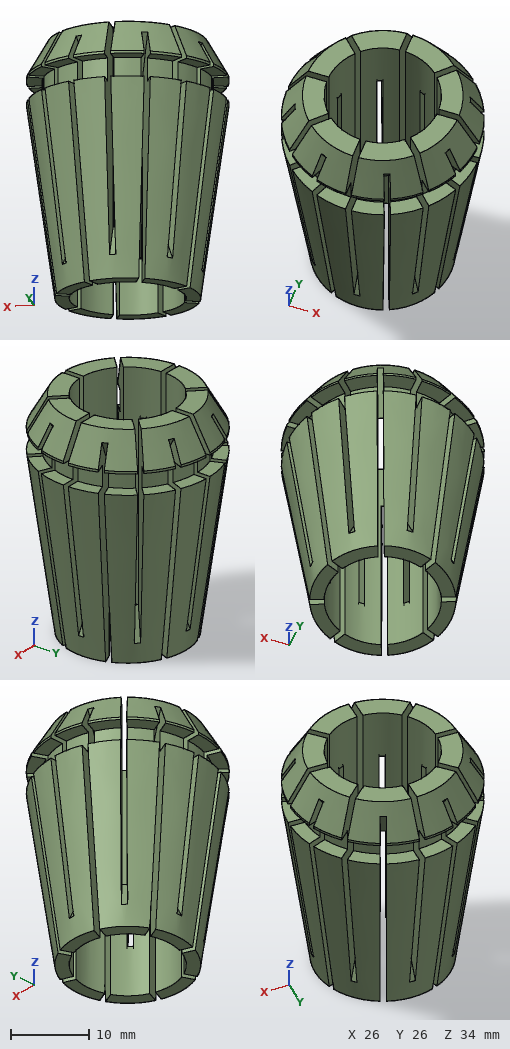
import cadquery as cq
import math

length = 34.0
max_radius = 13.0
bore_radius = 7.5

taper_angle = 8.0
taper_height = 25.9
groove_radius = 11.0
rim_bottom = 28.95
rim_top = 29.3
nose_angle = 30.0

slots_per_set = 8
slot_width = 0.8
top_slot_depth = 30.95
bottom_slot_depth = 32.35
top_slot_end_angle = 27.5
bottom_slot_end_angle = 34.0
clearance = 1.0

foot_radius = max_radius - taper_height * math.tan(math.radians(taper_angle))
nose_radius = max_radius - (length - rim_top) * math.tan(math.radians(nose_angle))
slot_pitch = 360.0 / slots_per_set


def taper_radius(z):
    """Outside radius of the long taper at height z."""
    return foot_radius + z * math.tan(math.radians(taper_angle))


def nose_cone_radius(z):
    """Outside radius of the nose cone at height z."""
    return nose_radius + (length - z) * math.tan(math.radians(nose_angle))


def make_body():
    """Revolve the half section between the bore and the outside."""
    half_section = [
        (bore_radius, 0),
        (foot_radius, 0),
        (max_radius, taper_height),
        (groove_radius, taper_height),
        (groove_radius, rim_bottom),
        (max_radius, rim_bottom),
        (max_radius, rim_top),
        (nose_radius, length),
        (bore_radius, length),
    ]
    return cq.Workplane("XZ").polyline(half_section).close().revolve(360, (0, 0), (0, 1))


def make_slot(end_radius, end_z, end_rise, open_z):
    """Radial cutter, open at open_z, whose end slopes through (end_radius, end_z).

    end_rise is the height gained by the end face per unit of inward travel.
    """
    inner_radius = bore_radius - clearance
    outer_radius = max_radius + clearance
    inner_end_z = end_z + (end_radius - inner_radius) * end_rise
    outer_end_z = end_z + (end_radius - outer_radius) * end_rise
    side = [
        (inner_radius, inner_end_z),
        (outer_radius, outer_end_z),
        (outer_radius, open_z),
        (inner_radius, open_z),
    ]
    return cq.Workplane("XZ").polyline(side).close().extrude(slot_width / 2, both=True)


def cut_slot_set(body, slot, first_angle):
    """Cut one evenly spaced set of slots."""
    for index in range(slots_per_set):
        angle = first_angle + index * slot_pitch
        body = body.cut(slot.rotate((0, 0, 0), (0, 0, 1), angle))
    return body


top_end_z = length - top_slot_depth
top_end_rise = 1 / math.tan(math.radians(top_slot_end_angle))
top_slot = make_slot(taper_radius(top_end_z), top_end_z, top_end_rise, length + clearance)

bottom_end_rise = -1 / math.tan(math.radians(bottom_slot_end_angle))
bottom_slot = make_slot(
    nose_cone_radius(bottom_slot_depth), bottom_slot_depth, bottom_end_rise, -clearance
)

result = make_body()
result = cut_slot_set(result, top_slot, 0)
result = cut_slot_set(result, bottom_slot, slot_pitch / 2)